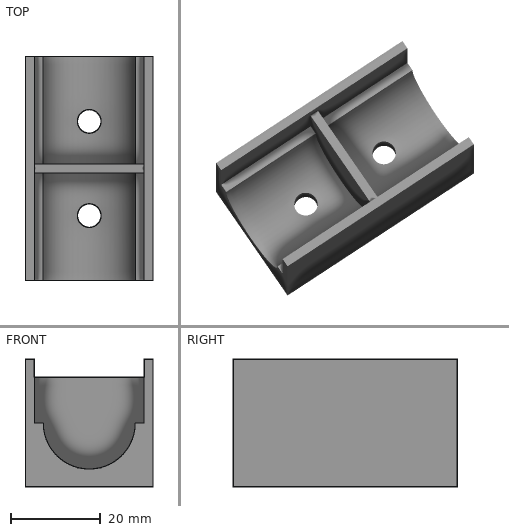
import cadquery as cq

length = 50.0
width = 28.5
height = 28.5

wall = 2.0
trough_radius = 10.25
ledge_height = height / 2
partition_thickness = 2.0
partition_height = 24.5

hole_diameter = 5.2
hole_offset = 10.5

inner_width = width - 2 * wall


def make_box(size_x, size_y, bottom, top):
    """Box centred on the Z axis, between two heights."""
    return (
        cq.Workplane("XY")
        .workplane(offset=bottom)
        .rect(size_x, size_y)
        .extrude(top - bottom)
    )


body = make_box(width, length, 0, height)
body = body.cut(make_box(inner_width, length, ledge_height, height))

trough = (
    cq.Workplane("XZ")
    .center(0, ledge_height)
    .circle(trough_radius)
    .extrude(length / 2, both=True)
)
body = body.cut(trough)

holes = (
    cq.Workplane("XY")
    .pushPoints([(0, -hole_offset), (0, hole_offset)])
    .circle(hole_diameter / 2)
    .extrude(ledge_height)
)
body = body.cut(holes)

floor_thickness = ledge_height - trough_radius
partition = make_box(inner_width, partition_thickness, floor_thickness / 2, partition_height)
result = body.union(partition)